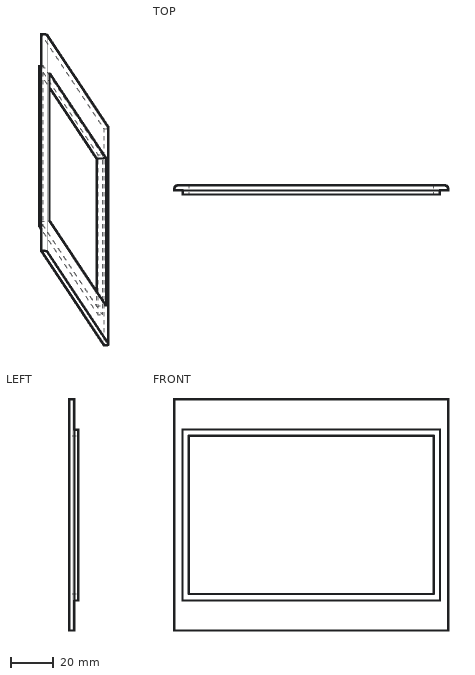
import cadquery as cq

plate_width = 130.0
plate_height = 109.8
plate_thickness = 2.5
side_edge_radius = 2.0

window_width = 116.0
window_height = 74.8

rim_depth = 2.0
rim_wall = 3.0
rim_bottom_wall = 3.2

total_depth = plate_thickness + rim_depth
rim_width = window_width + 2 * rim_wall
rim_height = window_height + rim_wall + rim_bottom_wall
rim_center_z = (rim_wall - rim_bottom_wall) / 2


def make_block(width, depth, height, front_y, center_z=0.0):
    """Box centred on X and on center_z, reaching back from front_y."""
    block = cq.Workplane("XY").box(width, depth, height, centered=(True, False, True))
    return block.translate((0, front_y, center_z))


def make_plate():
    """Flat plate with its front face on Y = 0 and its two rear upright edges rounded."""
    plate = make_block(plate_width, plate_thickness, plate_height, 0)
    return plate.faces(">Y").edges("|Z").fillet(side_edge_radius)


def make_rim():
    """Block standing forward of the plate; the window cut turns it into a rim."""
    return make_block(rim_width, rim_depth, rim_height, -rim_depth, rim_center_z)


def make_window():
    """Cutter for the opening through both the rim and the plate."""
    return make_block(window_width, total_depth, window_height, -rim_depth)


result = make_plate().union(make_rim()).cut(make_window())